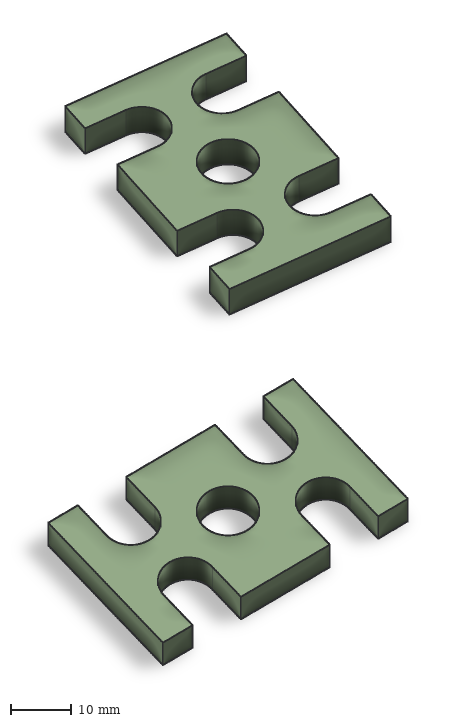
import cadquery as cq

length = 50.8
width = 31.75
thickness = 6.0

hole_diameter = 10.4

slot_width = 10.0
slot_offset = 14.2
left_web = 5.8
right_web = 6.1


def edge_slot(center_x, side, web):
    """Cutter for one slot; side is +1 or -1 for the +Y or -Y edge."""
    radius = slot_width / 2
    arc_center_y = web / 2 + radius
    straight = width / 2 - arc_center_y
    channel = (
        cq.Workplane("XY")
        .center(center_x, side * (arc_center_y + straight / 2))
        .rect(slot_width, straight)
        .extrude(thickness)
    )
    round_end = (
        cq.Workplane("XY")
        .center(center_x, side * arc_center_y)
        .circle(radius)
        .extrude(thickness)
    )
    return channel.union(round_end)


plate = cq.Workplane("XY").box(length, width, thickness, centered=(True, True, False))
result = plate.faces(">Z").workplane().hole(hole_diameter)

for side in (1, -1):
    result = result.cut(edge_slot(-slot_offset, side, left_web))
    result = result.cut(edge_slot(slot_offset, side, right_web))